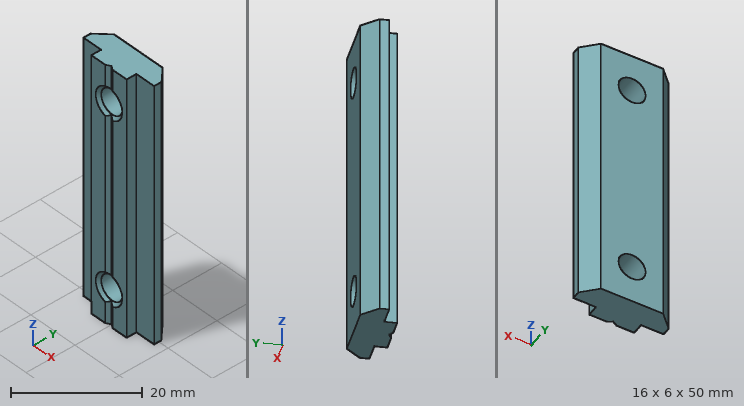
import cadquery as cq

length = 50.0
width = 16.0
depth = 6.0

rail_width = 8.0
rail_height = 2.0
flange_edge = 1.5
bevel = 2.5

groove_width = 1.7
groove_depth = 0.5

hole_diameter = 4.8
countersink_diameter = 6.0
countersink_depth = (countersink_diameter - hole_diameter) / 2
hole_spacing = 36.0

front = -depth / 2
back = depth / 2
shoulder = front + rail_height
flange_back = shoulder + flange_edge


def make_bar():
    """Extrude the half profile and mirror it about the YZ plane."""
    half = (
        cq.Workplane("XY")
        .workplane(offset=-length / 2)
        .moveTo(0, front + groove_depth)
        .lineTo(groove_width / 2, front)
        .lineTo(rail_width / 2, front)
        .lineTo(rail_width / 2, shoulder)
        .lineTo(width / 2, shoulder)
        .lineTo(width / 2, flange_back)
        .lineTo(width / 2 - bevel, back)
        .lineTo(0, back)
        .close()
        .extrude(length)
    )
    return half.union(half.mirror("YZ"))


def make_hole(z):
    """Through hole along Y with a conical countersink at the rail face."""
    hole_radius = hole_diameter / 2
    sink_radius = countersink_diameter / 2
    return (
        cq.Workplane("XY")
        .moveTo(0, front)
        .lineTo(sink_radius, front)
        .lineTo(hole_radius, front + countersink_depth)
        .lineTo(hole_radius, back)
        .lineTo(0, back)
        .close()
        .revolve(360, (0, 0, 0), (0, 1, 0))
        .translate((0, 0, z))
    )


result = make_bar()
for hole_z in (-hole_spacing / 2, hole_spacing / 2):
    result = result.cut(make_hole(hole_z))